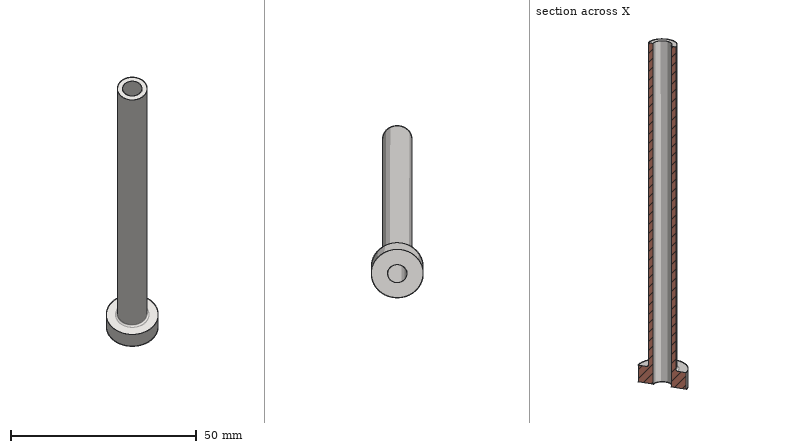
import cadquery as cq

total_length = 100.0
head_diameter = 14.0
head_height = 5.0
shank_diameter = 8.0
bore_diameter = 5.2
root_fillet_radius = 0.5

head = cq.Workplane("XY").circle(head_diameter / 2).extrude(head_height)

shank = cq.Workplane("XY").circle(shank_diameter / 2).extrude(total_length)
sleeve = head.union(shank)

shank_root = cq.selectors.RadiusNthSelector(0)
sleeve = sleeve.faces("<Z[-2]").edges(shank_root).fillet(root_fillet_radius)

bore = cq.Workplane("XY").circle(bore_diameter / 2).extrude(total_length)
result = sleeve.cut(bore)